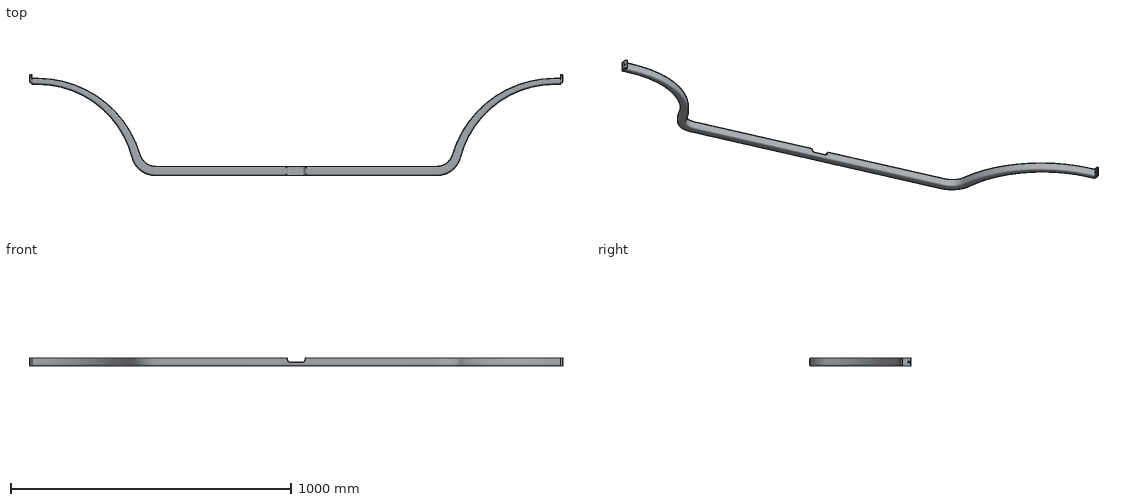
import cadquery as cq
import math

total_length = 1901.29
total_depth = 361.39
bar_height = 30.0

bar_width = 33.5
half_straight = 502.0
elbow_outer_radius = 87.0
elbow_inner_radius = 57.0
outer_center_y = elbow_outer_radius
inner_center_y = bar_width + elbow_inner_radius

arm_tip_x = 922.0
arm_tip_width = 22.0
arm_tip_bottom = 325.5
arm_tip_top = arm_tip_bottom + arm_tip_width
edge_fillet = 6.5

tab_thickness = 8.0
tab_bottom = 331.0
tab_corner_radius = 5.0
tab_hole_diameter = 5.1

notch_width = 61.0
notch_depth = 15.0
notch_corner_radius = notch_depth / 2

half_length = total_length / 2


def arm_arc(tip_y, elbow_radius, elbow_center_y):
    """Joint with the elbow and middle of an arm arc that is level at the tip and tangent to the elbow."""
    reach = arm_tip_x - half_straight
    drop = tip_y - elbow_center_y
    radius = (reach**2 + drop**2 - elbow_radius**2) / (2 * (elbow_radius + drop))
    center_y = tip_y - radius
    joint_angle = math.atan2(elbow_center_y - center_y, reach)
    middle_angle = (joint_angle + math.pi / 2) / 2

    def at(angle):
        return (-arm_tip_x + radius * math.cos(angle), center_y + radius * math.sin(angle))

    return at(joint_angle), at(middle_angle), joint_angle


def elbow_middle(radius, elbow_center_y, joint_angle):
    """Middle of an elbow arc, from the arm joint to the straight bar."""
    angle = (math.pi + joint_angle + 1.5 * math.pi) / 2
    return (-half_straight + radius * math.cos(angle), elbow_center_y + radius * math.sin(angle))


def half_bar():
    """Left half of the bent bar, with its long edges rounded."""
    lower_joint, lower_middle, lower_angle = arm_arc(arm_tip_bottom, elbow_outer_radius, outer_center_y)
    upper_joint, upper_middle, upper_angle = arm_arc(arm_tip_top, elbow_inner_radius, inner_center_y)
    lower_elbow_middle = elbow_middle(elbow_outer_radius, outer_center_y, lower_angle)
    upper_elbow_middle = elbow_middle(elbow_inner_radius, inner_center_y, upper_angle)
    tab_inner_x = tab_thickness - half_length
    outline = (
        cq.Workplane("XY")
        .moveTo(0, 0)
        .lineTo(-half_straight, 0)
        .threePointArc(lower_elbow_middle, lower_joint)
        .threePointArc(lower_middle, (-arm_tip_x, arm_tip_bottom))
        .lineTo(tab_inner_x, arm_tip_bottom)
        .lineTo(tab_inner_x, arm_tip_top)
        .lineTo(-arm_tip_x, arm_tip_top)
        .threePointArc(upper_middle, upper_joint)
        .threePointArc(upper_elbow_middle, (-half_straight, bar_width))
        .lineTo(0, bar_width)
        .close()
    )
    bar = outline.extrude(bar_height)
    return bar.faces("|Z").edges("not |Y").fillet(edge_fillet)


def half_tab():
    """Upright tab at the left tip, with its round hole."""
    tab = (
        cq.Workplane("XY", origin=(-half_length, tab_bottom, 0))
        .box(tab_thickness, total_depth - tab_bottom, bar_height, centered=False)
        .edges("|Z and <X")
        .fillet(tab_corner_radius)
    )
    hole_y = (arm_tip_top + total_depth) / 2
    hole = (
        cq.Workplane("YZ", origin=(-half_length, 0, 0))
        .center(hole_y, bar_height / 2)
        .circle(tab_hole_diameter / 2)
        .extrude(tab_thickness)
    )
    return tab.cut(hole)


def notch():
    """Cutter for the notch: rounded floor corners and flared rim."""
    floor_z = bar_height - notch_depth
    half = notch_width / 2
    r = notch_corner_radius
    middle_z = bar_height - r
    pocket = (
        cq.Workplane("XZ")
        .moveTo(-half - r, bar_height)
        .radiusArc((-half, middle_z), r)
        .radiusArc((-half + r, floor_z), -r)
        .lineTo(half - r, floor_z)
        .radiusArc((half, middle_z), -r)
        .radiusArc((half + r, bar_height), r)
        .close()
    )
    return pocket.extrude(-bar_width)


left_half = half_bar().union(half_tab())
result = left_half.union(left_half.mirror("YZ")).cut(notch())